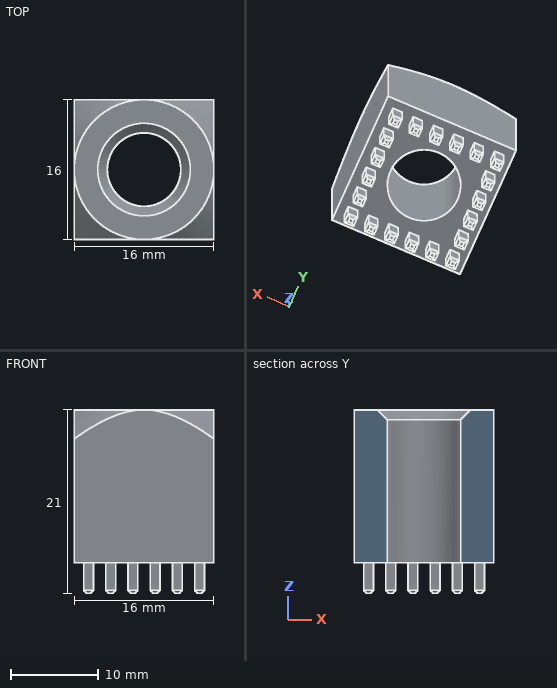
import cadquery as cq

body_width = 16.0
body_height = 17.5

bore_diameter = 8.38
countersink_diameter = 10.6
countersink_angle = 90.0

pin_count = 6
pin_pitch = 2.54
pin_width = 1.15
pin_length = 3.5
pin_tip_chamfer = 0.35


def make_body():
    """Square block whose top corners are cut by a 45 degree cone."""
    block = cq.Workplane("XY").rect(body_width, body_width).extrude(body_height)
    top_radius = body_width / 2
    base_radius = top_radius + body_height
    cone = cq.Workplane("XY").add(cq.Solid.makeCone(base_radius, top_radius, body_height))
    return block.intersect(cone)


def cut_bore(body):
    """Through bore with a countersunk mouth in the top face."""
    return (
        body.faces(">Z")
        .workplane(origin=(0, 0, body_height))
        .cskHole(bore_diameter, countersink_diameter, countersink_angle)
    )


def pin_positions():
    """Outermost ring of a square grid of pins."""
    reach = pin_pitch * (pin_count - 1) / 2
    last = pin_count - 1
    return [
        (column * pin_pitch - reach, row * pin_pitch - reach)
        for column in range(pin_count)
        for row in range(pin_count)
        if column in (0, last) or row in (0, last)
    ]


def make_pins():
    """Square pins hanging from the underside, with chamfered tips."""
    return (
        cq.Workplane("XY")
        .pushPoints(pin_positions())
        .rect(pin_width, pin_width)
        .extrude(-pin_length)
        .faces("<Z")
        .chamfer(pin_tip_chamfer)
    )


result = cut_bore(make_body()).union(make_pins())